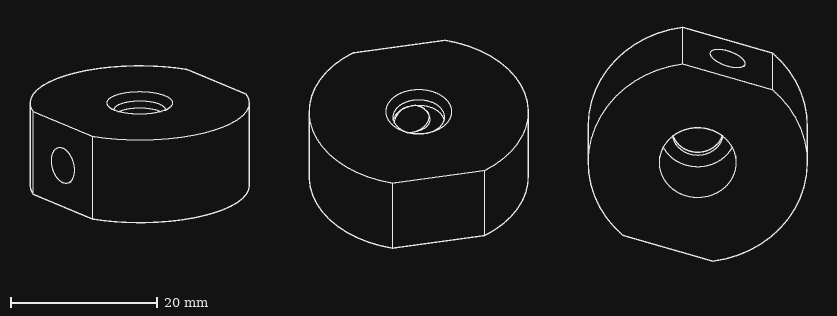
import cadquery as cq

disc_diameter = 29.9
flat_distance = 27.0
height = 12.0

mouth_diameter = 7.0
chamfer = 1.0
lip_depth = 2.0
lower_bore_diameter = 10.45

pin_diameter = 5.0
pin_recess = 4.0
pin_length = flat_distance / 2 - lower_bore_diameter / 2 - pin_recess


def front_cylinder(start_depth, length):
    """Cylinder at mid-height running inward (+Y) from a depth below the front flat."""
    return (
        cq.Workplane("XZ", origin=(0, start_depth - flat_distance / 2, height / 2))
        .circle(pin_diameter / 2)
        .extrude(-length)
    )


def make_collar():
    disc = cq.Workplane("XY").circle(disc_diameter / 2).extrude(height)
    flats = cq.Workplane("XY").rect(disc_diameter, flat_distance).extrude(height)
    body = disc.intersect(flats)

    mouth = cq.Workplane("XY").circle(mouth_diameter / 2).extrude(height)
    lower_bore = cq.Workplane("XY").circle(lower_bore_diameter / 2).extrude(height - lip_depth)
    body = body.cut(mouth).faces(">Z").edges("%CIRCLE")
    body = body.edges(cq.selectors.RadiusNthSelector(0)).chamfer(chamfer)

    radial_hole = front_cylinder(0, flat_distance / 2)
    return body.cut(lower_bore).cut(radial_hole)


def make_set_pin():
    """Flat-ended pin, recessed below the flat and stopping short of the bore."""
    return front_cylinder(pin_recess, pin_length)


collar = make_collar()
set_pin = make_set_pin()

result = cq.Compound.makeCompound([collar.val(), set_pin.val()])